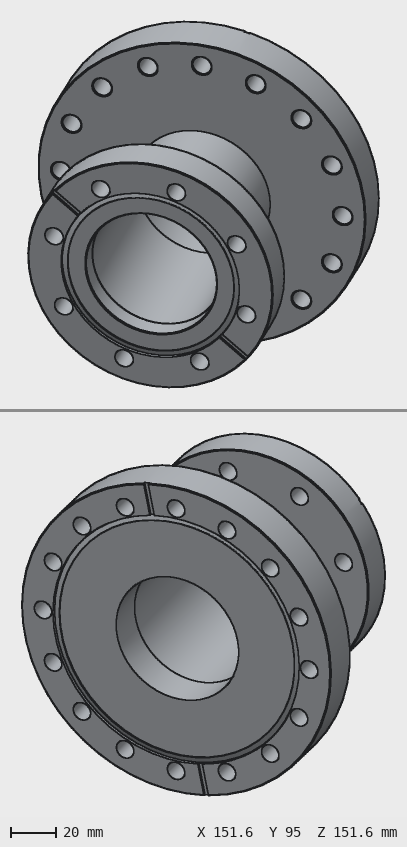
import cadquery as cq
import math

overall_length = 95.0

tube_radius = 31.7
bore_radius = 30.0

large_radius = 75.8
large_thickness = 20.0
large_bolt_count = 16
large_bolt_circle_radius = 65.2
large_bolt_start = 0.0
large_hole_chamfer = 0.5

small_radius = 56.7
small_thickness = 17.5
small_bolt_count = 8
small_bolt_circle_radius = 46.1
small_bolt_start = 29.8

bolt_hole_diameter = 8.5
rim_chamfer = 0.5
chamfer_angle = 45.0
recess_wall = 0.6
knife_setback = 2.7
knife_depth = 0.8
knife_slope = 20.0
knife_height = 0.6
groove_width = 2.3
groove_depth = 1.0

insert_thickness = 9.1
insert_bore_radius = 30.2
insert_bore_chamfer = 0.5

large_face = overall_length
large_back = large_face - large_thickness
bore_face_depth = knife_depth + knife_height
recess_depth = knife_depth + knife_setback * math.tan(math.radians(knife_slope))
tube_start = bore_face_depth + insert_thickness


def recess_radius(bolt_circle_radius):
    """Gasket recess that stops just inside the bolt holes."""
    return bolt_circle_radius - bolt_hole_diameter / 2 - recess_wall


def cylinder(radius, start, end):
    """Solid cylinder on the Y axis from start to end."""
    return cq.Workplane("XZ", origin=(0, start, 0)).circle(radius).extrude(start - end)


def revolve(points):
    """Turn an outline of (radius, y) points around the Y axis."""
    return cq.Workplane("XY").polyline(points).close().revolve(360, (0, 0, 0), (0, 1, 0))


def chamfered_disc(radius, start, end):
    """Flange blank with both rims chamfered."""
    return cylinder(radius, start, end).edges().chamfer(rim_chamfer)


def bolt_holes(count, circle_radius, start_angle, start, end):
    """Cutters for a ring of through holes."""
    return (
        cq.Workplane("XZ", origin=(0, start, 0))
        .polarArray(circle_radius, start_angle, 360, count)
        .circle(bolt_hole_diameter / 2)
        .extrude(start - end)
    )


def large_hole_mouths():
    """Cone cutters that chamfer the bolt holes on the tube side of the large flange."""
    return (
        cq.Workplane("XZ", origin=(0, large_back, 0))
        .polarArray(large_bolt_circle_radius, large_bolt_start, 360, large_bolt_count)
        .circle(bolt_hole_diameter / 2 + large_hole_chamfer)
        .extrude(-large_hole_chamfer, taper=chamfer_angle)
    )


def leak_grooves(inner_radius, outer_radius, angle, face):
    """Cutters for two opposite radial grooves, sunk to groove_depth on both sides of the face."""
    bar = cq.Workplane("XY").box(2 * outer_radius, 2 * groove_depth, groove_width)
    bar = bar.rotate((0, 0, 0), (0, 1, 0), -angle).translate((0, face, 0))
    return bar.cut(cylinder(inner_radius, face - groove_depth, face + groove_depth))


def make_tube():
    outer = cylinder(tube_radius, tube_start, large_back)
    return outer.cut(cylinder(bore_radius, tube_start, large_back))


def make_large_flange():
    wall_radius = recess_radius(large_bolt_circle_radius)
    knife_radius = wall_radius - knife_setback
    half_pitch = 180 / large_bolt_count
    recess = revolve([
        (0, large_face),
        (wall_radius, large_face),
        (wall_radius, large_face - recess_depth),
        (knife_radius, large_face - knife_depth),
        (knife_radius, large_face - bore_face_depth),
        (0, large_face - bore_face_depth),
    ])
    groove_angle = 90 - half_pitch
    return (
        chamfered_disc(large_radius, large_back, large_face)
        .cut(cylinder(bore_radius, large_back, large_face))
        .cut(recess)
        .cut(bolt_holes(large_bolt_count, large_bolt_circle_radius, large_bolt_start, large_back, large_face))
        .cut(large_hole_mouths())
        .cut(leak_grooves(wall_radius, large_radius, groove_angle, large_face))
    )


def make_ring():
    seat_radius = recess_radius(small_bolt_circle_radius)
    half_pitch = 180 / small_bolt_count
    groove_angle = small_bolt_start + 90 + half_pitch
    return (
        chamfered_disc(small_radius, 0, small_thickness)
        .cut(cylinder(seat_radius, 0, tube_start))
        .cut(cylinder(tube_radius, tube_start, small_thickness))
        .cut(bolt_holes(small_bolt_count, small_bolt_circle_radius, small_bolt_start, 0, small_thickness))
        .cut(leak_grooves(seat_radius, small_radius, groove_angle, 0))
    )


def make_insert():
    seat_radius = recess_radius(small_bolt_circle_radius)
    knife_radius = seat_radius - knife_setback
    return revolve([
        (insert_bore_radius, tube_start),
        (seat_radius, tube_start),
        (seat_radius, recess_depth),
        (knife_radius, knife_depth),
        (knife_radius, bore_face_depth),
        (insert_bore_radius + insert_bore_chamfer, bore_face_depth),
        (insert_bore_radius, bore_face_depth + insert_bore_chamfer),
    ])


tube = make_tube()
large_flange = make_large_flange()
ring = make_ring()
insert = make_insert()

result = cq.Compound.makeCompound([tube.val(), large_flange.val(), ring.val(), insert.val()])